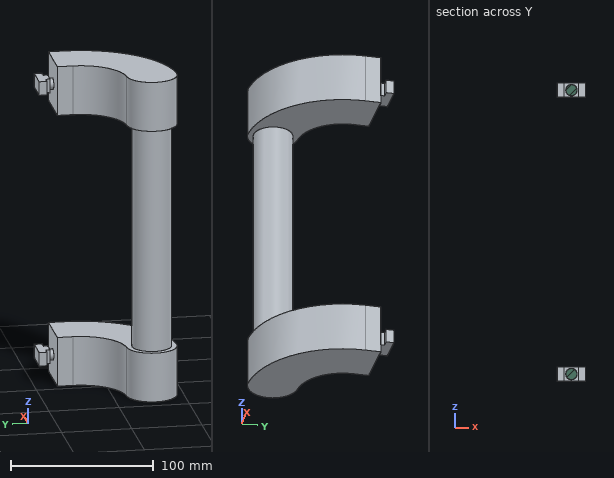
import cadquery as cq
import math

handle_height = 235.0
part_width = 84.0
bracket_depth = 80.0
bracket_size = 36.0
straight_length = 11.0
rod_diameter = 28.0

stud_diameter = 8.0
stud_length = 2.8
bolt_height = 10.0
neck_width = 10.0
neck_length = 3.0
head_width = 20.0
head_length = 5.6

end_radius = bracket_size / 2
outer_radius = bracket_depth - straight_length
inner_radius = outer_radius - bracket_size
middle_radius = outer_radius - end_radius
right_x = part_width - end_radius
left_x = right_x - bracket_size
bend_x = right_x - outer_radius
end_angle = math.asin(-bend_x / middle_radius)
bend_y = middle_radius * math.cos(end_angle)
face_y = bend_y + straight_length
bolt_x = right_x - bracket_size / 2


def bend_point(radius, angle):
    """Point around the bend centre, with the angle measured from -Y toward +X."""
    return (bend_x + radius * math.sin(angle), bend_y - radius * math.cos(angle))


def make_bracket(bottom_z):
    middle_angle = (end_angle + math.pi / 2) / 2
    end_tip = (-end_radius * math.cos(end_angle), -end_radius * math.sin(end_angle))
    return (
        cq.Workplane("XY", origin=(0, 0, bottom_z))
        .moveTo(left_x, face_y)
        .lineTo(right_x, face_y)
        .lineTo(right_x, bend_y)
        .threePointArc(bend_point(outer_radius, middle_angle), bend_point(outer_radius, end_angle))
        .threePointArc(end_tip, bend_point(inner_radius, end_angle))
        .threePointArc(bend_point(inner_radius, middle_angle), (left_x, bend_y))
        .close()
        .extrude(bracket_size)
    )


def make_bolt(center_z):
    neck_y = face_y + stud_length
    head_y = neck_y + neck_length
    stud = (
        cq.Workplane("XZ", origin=(bolt_x, face_y, center_z))
        .circle(stud_diameter / 2)
        .extrude(-stud_length)
    )
    neck = (
        cq.Workplane("XZ", origin=(bolt_x, neck_y, center_z))
        .rect(neck_width, bolt_height)
        .extrude(-neck_length)
    )
    head = (
        cq.Workplane("XZ", origin=(bolt_x, head_y, center_z))
        .rect(head_width, bolt_height)
        .extrude(-head_length)
    )
    return stud.union(neck).union(head)


result = (
    cq.Workplane("XY", origin=(0, 0, bracket_size))
    .circle(rod_diameter / 2)
    .extrude(handle_height - 2 * bracket_size)
)

for bracket_bottom in (0, handle_height - bracket_size):
    result = result.union(make_bracket(bracket_bottom))
    result = result.union(make_bolt(bracket_bottom + bracket_size / 2))